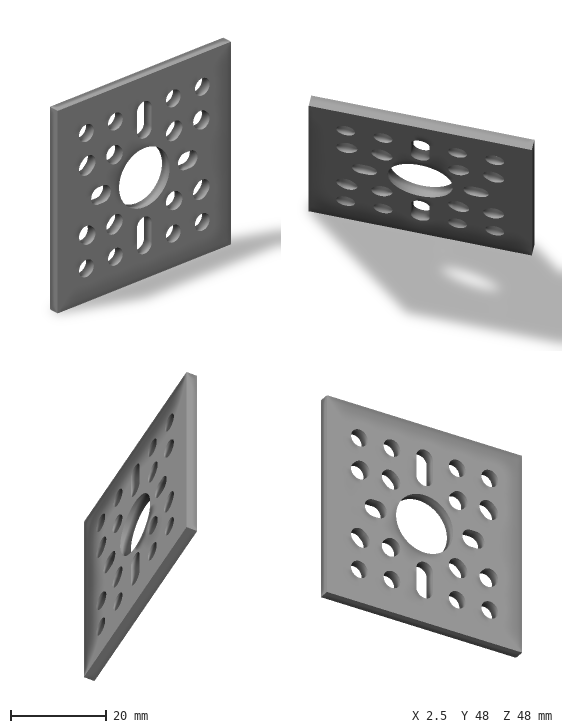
import cadquery as cq
import math

side = 48.0
thickness = 2.5

bore_diameter = 14.0
hole_diameter = 4.1
inner_offset = 8.0
outer_offset = 2 * inner_offset
diagonal_shift = 0.5
slot_inner_end = inner_offset * math.sqrt(2)
horizontal_slot_outer_end = 12.65

SIGNS = (-1, 1)


def cutter(y, z, diameter):
    """Cylinder along X through the whole plate."""
    return (
        cq.Workplane("YZ", origin=(-thickness, 0, 0))
        .center(y, z)
        .circle(diameter / 2)
        .extrude(2 * thickness)
    )


def slot_cutter(start, end):
    """Round-ended slot between two (y, z) arc centres."""
    run_y = end[0] - start[0]
    run_z = end[1] - start[1]
    return (
        cq.Workplane("YZ", origin=(-thickness, 0, 0))
        .center((start[0] + end[0]) / 2, (start[1] + end[1]) / 2)
        .slot2D(
            math.hypot(run_y, run_z) + hole_diameter,
            hole_diameter,
            math.degrees(math.atan2(run_z, run_y)),
        )
        .extrude(2 * thickness)
    )


result = cq.Workplane("XY").box(thickness, side, side)
result = result.cut(cutter(0, 0, bore_diameter))

for sign in SIGNS:
    result = result.cut(slot_cutter((0, sign * slot_inner_end), (0, sign * outer_offset)))
    result = result.cut(
        slot_cutter((sign * slot_inner_end, 0), (sign * horizontal_slot_outer_end, 0))
    )

slot_z = inner_offset + diagonal_shift
for y_sign in SIGNS:
    for z_sign in SIGNS:
        for offset, lean in ((inner_offset, 1), (outer_offset, -1)):
            y = y_sign * offset
            shifted_y = y_sign * (offset + lean * diagonal_shift)
            result = result.cut(cutter(y, z_sign * outer_offset, hole_diameter))
            result = result.cut(
                slot_cutter((y, z_sign * inner_offset), (shifted_y, z_sign * slot_z))
            )